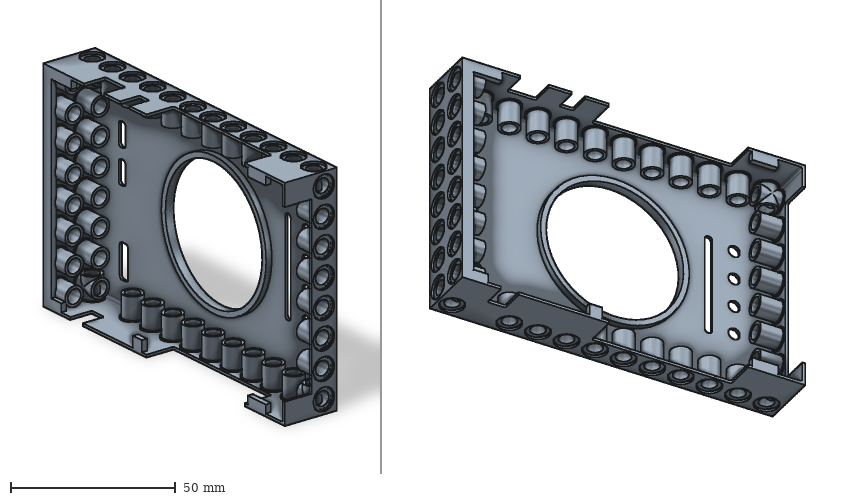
import cadquery as cq


LENGTH = 120.0
DEPTH = 20.0
HEIGHT = 80.0
WALL = 1.0
INNER_FILLET = 1.0

PITCH = 10.0
TUBE_OUTER_DIAMETER = 7.0
TUBE_BORE_DIAMETER = 5.0
TUBE_END = 9.0
COLLAR_DIAMETER = 8.0
COLLAR_END = 1.2
COUNTERBORE_DEPTH = 0.8

FIRST_CENTRE = PITCH / 2
BACK_ROW_Y = DEPTH - PITCH / 2
FRONT_ROW_Y = PITCH / 2
COLUMN_COUNT = round(LENGTH / PITCH)
ROW_COUNT = round(HEIGHT / PITCH)
COLUMNS = [FIRST_CENTRE + PITCH * i for i in range(COLUMN_COUNT)]
ROWS = [FIRST_CENTRE + PITCH * i for i in range(ROW_COUNT)]
BOTTOM_GAP_COLUMN = 1

LIP_THICKNESS = 2.0
LIP_HEIGHT = 4.0
TOP_LIP_END = 14.0
BOTTOM_LIP_END = 9.0
RIGHT_LIP_START = 101.5
RIGHT_LIP_END = 110.5
CLIP_START = 44.5
CLIP_END = 49.0
CLIP_HEIGHT = 5.0

CUTOUT_DEPTH = 10.4
CUTOUT_START = 51.3
CUTOUT_END = 100.0
CUTOUT_FILLET = 0.5
SIDE_CUTOUT_MARGIN = 8.0
WIDE_NOTCH_START = 20.3
WIDE_NOTCH_WIDTH = 10.0
WIDE_NOTCH_DEPTH = 8.2
NARROW_NOTCH_START = 38.2
NARROW_NOTCH_WIDTH = 4.8
NARROW_NOTCH_DEPTH = 7.5
BOTTOM_NOTCH_START = 13.5
BOTTOM_NOTCH_WIDTH = 6.2

WINDOW_X = 63.0
WINDOW_DIAMETER = 48.0
RIM_DIAMETER = 52.0
RIM_FRONT_Y = 16.8
PIN_HOLE_X = 106.0
PIN_HOLE_DIAMETER = 4.0
PIN_HOLE_COUNT = 4
LONG_SLOT_X = 97.0
LONG_SLOT_WIDTH = 2.6
LONG_SLOT_HEIGHT = 35.2
SMALL_SLOT_X = 14.6
SMALL_SLOT_ROWS = (44.0, 56.5)
SMALL_SLOT_WIDTH = 3.4
SMALL_SLOT_HEIGHT = 8.6
LARGE_SLOT_X = 15.45
LARGE_SLOT_Z = 14.9
LARGE_SLOT_WIDTH = 4.2
LARGE_SLOT_HEIGHT = 12.4
SLOT_FILLET = 1.25


def block(x0, x1, y0, y1, z0, z1):
    """Box spanning the given limits."""
    return cq.Solid.makeBox(x1 - x0, y1 - y0, z1 - z0, cq.Vector(x0, y0, z0))


def rod(start, direction, diameter, near, far):
    """Round bar along a direction, between two distances from the start point."""
    axis = cq.Vector(*direction)
    base = cq.Vector(*start) + axis * near
    return cq.Solid.makeCylinder(diameter / 2, far - near, base, axis)


def round_edges(solid, selector, radius):
    """Fillet the selected edges of a simple solid."""
    return cq.Workplane(obj=solid).edges(selector).fillet(radius).val()


def tube_positions():
    """Outer end and inward direction of every tube."""
    places = []
    for i, x in enumerate(COLUMNS):
        places.append(((x, BACK_ROW_Y, HEIGHT), (0, 0, -1)))
        if i != BOTTOM_GAP_COLUMN:
            places.append(((x, BACK_ROW_Y, 0), (0, 0, 1)))
    for z in ROWS:
        places.append(((0, BACK_ROW_Y, z), (1, 0, 0)))
        places.append(((0, FRONT_ROW_Y, z), (1, 0, 0)))
        places.append(((LENGTH, BACK_ROW_Y, z), (-1, 0, 0)))
    return places


def make_shell():
    """Open tray with rounded inner corners."""
    cavity = block(WALL, LENGTH - WALL, 0, DEPTH - WALL, WALL, HEIGHT - WALL)
    cavity = round_edges(cavity, "|Y or >Y", INNER_FILLET)
    return block(0, LENGTH, 0, DEPTH, 0, HEIGHT).cut(cavity)


def notch(start, width, depth, z0):
    """Rounded cutter entering a horizontal wall from its front edge."""
    cutter = block(start, start + width, 0, depth, z0, z0 + WALL)
    return round_edges(cutter, ">Y and |Z", CUTOUT_FILLET)


def cut_walls(body):
    """Front cutouts and notches of the top, bottom and right walls."""
    main = block(CUTOUT_START, CUTOUT_END, 0, CUTOUT_DEPTH, 0, HEIGHT)
    side_top = HEIGHT - SIDE_CUTOUT_MARGIN
    side = block(LENGTH - WALL, LENGTH, 0, CUTOUT_DEPTH, SIDE_CUTOUT_MARGIN, side_top)
    top_wall = HEIGHT - WALL
    return body.cut(
        round_edges(main, ">Y and |Z", CUTOUT_FILLET),
        round_edges(side, ">Y and |X", CUTOUT_FILLET),
        notch(WIDE_NOTCH_START, WIDE_NOTCH_WIDTH, WIDE_NOTCH_DEPTH, top_wall),
        notch(NARROW_NOTCH_START, NARROW_NOTCH_WIDTH, NARROW_NOTCH_DEPTH, top_wall),
        notch(BOTTOM_NOTCH_START, BOTTOM_NOTCH_WIDTH, WIDE_NOTCH_DEPTH, 0),
    )


def add_lips(body):
    """Front frame on the left, lips on the right and the clip on the bottom wall."""
    top_lip_z = HEIGHT - LIP_HEIGHT
    limits = [
        (0, LIP_HEIGHT, 0, HEIGHT),
        (0, TOP_LIP_END, top_lip_z, HEIGHT),
        (0, BOTTOM_LIP_END, 0, LIP_HEIGHT),
        (RIGHT_LIP_START, RIGHT_LIP_END, top_lip_z, HEIGHT),
        (RIGHT_LIP_START, RIGHT_LIP_END, 0, LIP_HEIGHT),
        (CLIP_START, CLIP_END, 0, CLIP_HEIGHT),
    ]
    lips = [block(x0, x1, 0, LIP_THICKNESS, z0, z1) for x0, x1, z0, z1 in limits]
    return body.fuse(*lips).clean()


def add_tubes(body):
    """Collared tubes with counterbored, through-going bores."""
    tubes = []
    bores = []
    for start, direction in tube_positions():
        tubes.append(rod(start, direction, TUBE_OUTER_DIAMETER, 0, TUBE_END))
        tubes.append(rod(start, direction, COLLAR_DIAMETER, 0, COLLAR_END))
        bores.append(rod(start, direction, COLLAR_DIAMETER, 0, COUNTERBORE_DEPTH))
        bores.append(rod(start, direction, TUBE_BORE_DIAMETER, 0, TUBE_END))
    return body.fuse(*tubes).cut(*bores).clean()


def slot(x, z, width, height):
    """Rounded rectangular cutter through the back plate."""
    cutter = block(x - width / 2, x + width / 2, DEPTH - WALL, DEPTH, z - height / 2, z + height / 2)
    return round_edges(cutter, "|Y", SLOT_FILLET)


def cut_plate(body):
    """Rimmed window, slots and pin holes of the back plate."""
    back = (0, 1, 0)
    window_centre = (WINDOW_X, 0, HEIGHT / 2)
    rim = rod(window_centre, back, RIM_DIAMETER, RIM_FRONT_Y, DEPTH)
    cutters = [
        rod(window_centre, back, WINDOW_DIAMETER, RIM_FRONT_Y, DEPTH),
        slot(LONG_SLOT_X, HEIGHT / 2, LONG_SLOT_WIDTH, LONG_SLOT_HEIGHT),
        slot(LARGE_SLOT_X, LARGE_SLOT_Z, LARGE_SLOT_WIDTH, LARGE_SLOT_HEIGHT),
    ]
    for z in SMALL_SLOT_ROWS:
        cutters.append(slot(SMALL_SLOT_X, z, SMALL_SLOT_WIDTH, SMALL_SLOT_HEIGHT))
    for i in range(PIN_HOLE_COUNT):
        z = HEIGHT / 2 + PITCH * (i - (PIN_HOLE_COUNT - 1) / 2)
        cutters.append(rod((PIN_HOLE_X, 0, z), back, PIN_HOLE_DIAMETER, DEPTH - WALL, DEPTH))
    return body.fuse(rim).cut(*cutters).clean()


shell = add_lips(cut_walls(make_shell()))
result = cq.Workplane(obj=cut_plate(add_tubes(shell)))